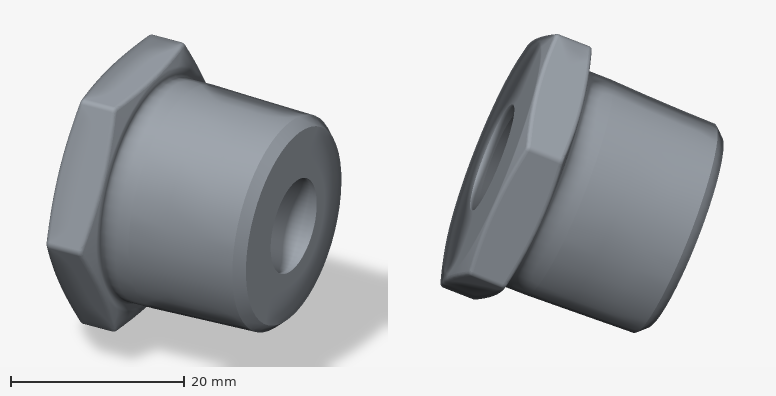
import cadquery as cq
import math

total_length = 24.0
across_flats = 30.0
across_corners = 34.4

flange_thickness = 6.0
face_diameter = 29.0
crown_angle = 15
face_blend_radius = 1.0
edge_radius = 0.48
rim_tolerance = 0.05

shank_diameter = 26.75
taper_start = 9.5
taper_ratio = 1 / 16
end_chamfer_length = 1.2
end_chamfer_height = 1.1
root_radius = 0.3

bore_diameter = 11.45
countersink_diameter = 13.17
countersink_angle = 90

corner_reach = across_flats / math.sqrt(3)
corner_radius = (corner_reach - across_corners / 2) / (2 / math.sqrt(3) - 1)


def flange():
    """Hexagon with rounded corners, crowned by a shallow cone on both faces."""
    hexagon = (
        cq.Workplane("YZ")
        .polygon(6, 2 * corner_reach)
        .extrude(flange_thickness)
        .edges("|X")
        .fillet(corner_radius)
    )
    face_radius = face_diameter / 2
    crown_drop = (corner_reach - face_radius) * math.tan(math.radians(crown_angle))
    crown = (
        cq.Workplane("XY")
        .moveTo(0, 0)
        .lineTo(0, face_radius)
        .lineTo(crown_drop, corner_reach)
        .lineTo(flange_thickness - crown_drop, corner_reach)
        .lineTo(flange_thickness, face_radius)
        .lineTo(flange_thickness, 0)
        .close()
        .revolve(360, (0, 0, 0), (1, 0, 0))
        .faces("<X or >X")
        .edges()
        .fillet(face_blend_radius)
    )
    body = hexagon.intersect(crown)
    rim_limit = across_flats / 2 - rim_tolerance
    rim = [
        edge for edge in body.edges("not(|X)").vals()
        if min(math.hypot(p.y, p.z) for p in edge.positions([0, 0.5, 1])) > rim_limit
    ]
    return body.newObject(rim).fillet(edge_radius)


def shank():
    """Cylinder, taper and end chamfer, turned about X."""
    shank_radius = shank_diameter / 2
    taper_end = total_length - end_chamfer_length
    tip_radius = shank_radius - (taper_end - taper_start) * taper_ratio / 2
    root = flange_thickness
    core_start = root / 2
    return (
        cq.Workplane("XZ")
        .moveTo(core_start, 0)
        .lineTo(core_start, shank_radius + root_radius)
        .lineTo(root, shank_radius + root_radius)
        .radiusArc((root + root_radius, shank_radius), -root_radius)
        .lineTo(taper_start, shank_radius)
        .lineTo(taper_end, tip_radius)
        .lineTo(total_length, tip_radius - end_chamfer_height)
        .lineTo(total_length, 0)
        .close()
        .revolve(360, (0, 0, 0), (1, 0, 0))
    )


def bore():
    """Cutting tool for the through bore and its countersink in the hexagon face."""
    bore_radius = bore_diameter / 2
    countersink_radius = countersink_diameter / 2
    half_angle = math.radians(countersink_angle / 2)
    countersink_depth = (countersink_radius - bore_radius) / math.tan(half_angle)
    return (
        cq.Workplane("XY")
        .moveTo(0, 0)
        .lineTo(0, countersink_radius)
        .lineTo(countersink_depth, bore_radius)
        .lineTo(total_length, bore_radius)
        .lineTo(total_length, 0)
        .close()
        .revolve(360, (0, 0, 0), (1, 0, 0))
    )


result = flange().union(shank()).cut(bore())